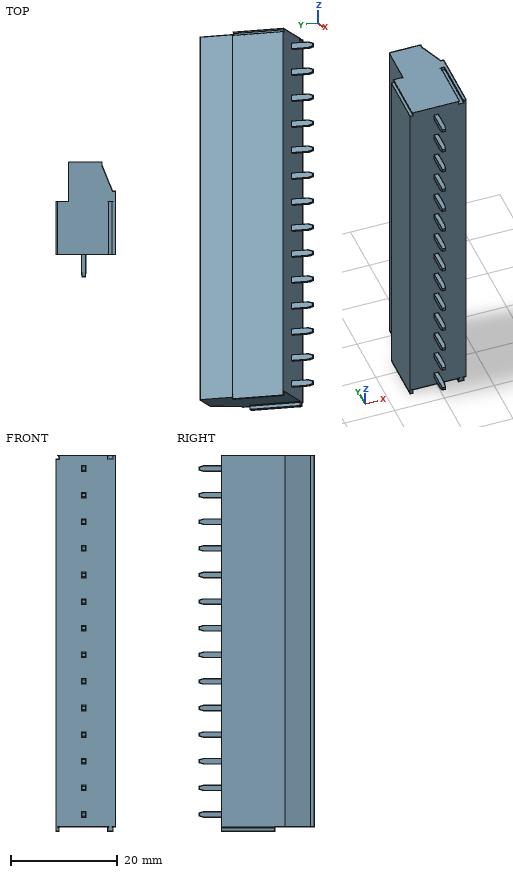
import cadquery as cq

width = 11.2
total_depth = 21.6
pin_length = 4.2
body_depth = total_depth - pin_length
total_height = 70.65
rail_height = 0.85
body_height = total_height - rail_height
mating_depth = 10.0
step_width = 2.3
roof_right = 8.7
roof_drop = 0.7
slope_right = 10.7
shoulder_y = 11.95
rear_edge_chamfer = 0.2

groove_depth = 0.7
flare_height = 0.25
edge_neck = 0.35
edge_wide = 0.6
dovetail_center = 10.25
dovetail_neck = 0.65
dovetail_wide = 1.05

pin_count = 14
pin_span = 65.0
pin_pitch = pin_span / (pin_count - 1)
first_pin_z = 2.3
pin_x = 5.2
pin_width = 0.85
pin_height = 1.05
tip_length = 0.85
tip_width = 0.65
tip_height = 0.6


def make_housing():
    outline = [
        (0, 0),
        (width, 0),
        (width, shoulder_y),
        (slope_right, shoulder_y),
        (roof_right, body_depth - roof_drop),
        (roof_right, body_depth),
        (step_width + rear_edge_chamfer, body_depth),
        (step_width, body_depth - rear_edge_chamfer),
        (step_width, mating_depth),
        (0, mating_depth),
    ]
    return cq.Workplane("XY").polyline(outline).close().extrude(body_height)


def make_dovetails(mouth_z, height):
    """Both dovetails along Y, narrow at mouth_z and flaring to full width below it."""
    flare_z = mouth_z - flare_height
    low_z = mouth_z - height
    half_neck = dovetail_neck / 2
    half_wide = dovetail_wide / 2
    edge_profile = [
        (0, mouth_z),
        (edge_neck, mouth_z),
        (edge_wide, flare_z),
        (edge_wide, low_z),
        (0, low_z),
    ]
    inner_profile = [
        (dovetail_center - half_neck, mouth_z),
        (dovetail_center + half_neck, mouth_z),
        (dovetail_center + half_wide, flare_z),
        (dovetail_center + half_wide, low_z),
        (dovetail_center - half_wide, low_z),
        (dovetail_center - half_wide, flare_z),
    ]
    dovetails = cq.Workplane("XZ")
    for profile in (edge_profile, inner_profile):
        dovetails = dovetails.polyline(profile).close()
    return dovetails.extrude(-mating_depth)


def make_pin(z):
    """Rectangular pin with a tapered tip, rooted in the front face."""
    shank_length = pin_length - tip_length
    front = cq.Workplane("XZ").center(pin_x, z)
    shank = front.rect(pin_width, pin_height).extrude(shank_length)
    tip = (
        front.workplane(offset=shank_length)
        .rect(pin_width, pin_height)
        .workplane(offset=tip_length)
        .rect(tip_width, tip_height)
        .loft()
    )
    return shank.union(tip)


result = make_housing()
result = result.cut(make_dovetails(body_height, groove_depth))
result = result.union(make_dovetails(0, rail_height))
for index in range(pin_count):
    result = result.union(make_pin(first_pin_z + index * pin_pitch))